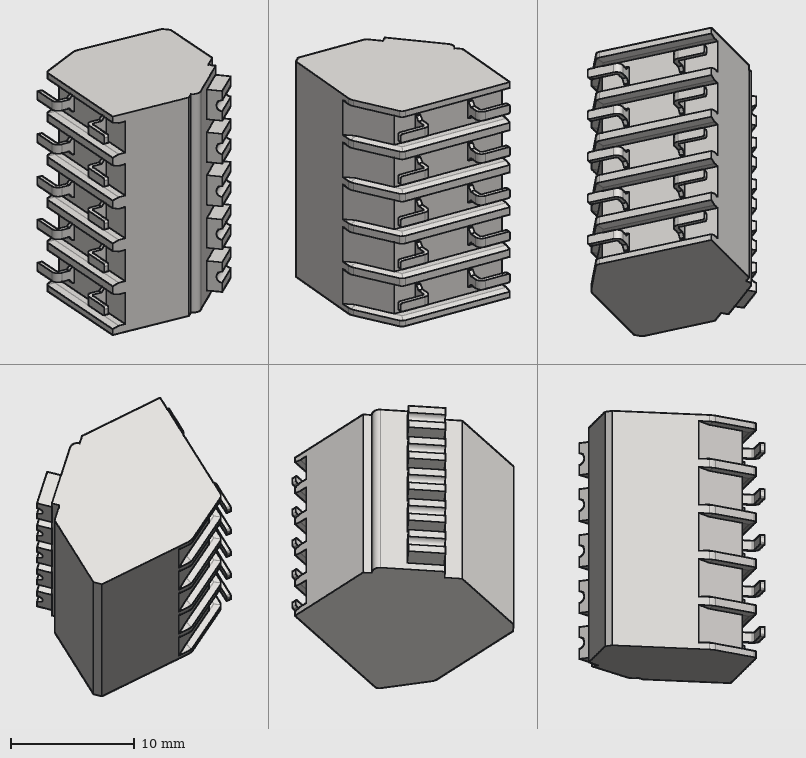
import cadquery as cq
import math

width = 12.7
height = 19.44
back = 12.95
back_chamfer = 0.5

slant_angle = math.radians(60)
slant_foot = 2.4
slant_top = slant_foot * math.tan(slant_angle)
foot_radius = 0.5
shoulder_radius = 1.0

diagonal_right = 7.25
diagonal_sum = width + diagonal_right
land_start = 8.0
land_length = 5.93
land_step = 0.65

pole_count = 5
pole_pitch = 3.81
first_pole = (height - (pole_count - 1) * pole_pitch) / 2

recess_height = 2.78
recess_depth = 1.19
recess_slant_top = 5.3
recess_slant_foot = (recess_slant_top - recess_depth) / math.tan(slant_angle)
bevel_depth = 0.58
bevel_height = 0.17

button_offset = 0.08
button_length = 3.01
button_rise = 1.28
button_height = 2.65
groove_radius = 0.49

pin_thickness = 0.39
pin_height = 0.8
pin_root_height = 1.52
pin_bend_radius = 0.58
pin_tip_radius = 0.17
flare_start = 1.03
flare_end = 0.72
pin_embed = 0.39
left_bend_x = 4.2
left_tip_x = 1.89
right_bend_x = 9.97
right_tip_x = 12.35


def on_diagonal(along, rise):
    """Point a distance along the diagonal from the land start, and above it."""
    x = land_start + (along + rise) * math.sqrt(0.5)
    y = diagonal_sum - land_start + (rise - along) * math.sqrt(0.5)
    return x, y


def make_housing():
    """Full outline extruded over the whole height, with the land on the diagonal."""
    land_round_mid = land_step * math.sqrt(0.5)
    outline = (
        cq.Workplane("XY")
        .moveTo(slant_foot, 0)
        .lineTo(width, 0)
        .lineTo(width, diagonal_right)
        .lineTo(*on_diagonal(land_length, 0))
        .threePointArc(
            on_diagonal(land_length - land_step + land_round_mid, land_round_mid),
            on_diagonal(land_length - land_step, land_step),
        )
        .lineTo(*on_diagonal(0, land_step))
        .lineTo(*on_diagonal(0, 0))
        .lineTo(diagonal_sum - back, back)
        .lineTo(back_chamfer, back)
        .lineTo(0, back - back_chamfer)
        .lineTo(0, slant_top)
        .close()
    )
    prism = outline.extrude(height)
    foot_edge = cq.selectors.NearestToPointSelector((slant_foot, 0, height / 2))
    shoulder_edge = cq.selectors.NearestToPointSelector((0, slant_top, height / 2))
    return prism.edges(foot_edge).fillet(foot_radius).edges(shoulder_edge).fillet(shoulder_radius)


def make_core(housing):
    """Housing with its front and slanted faces set back over the whole height."""
    front_layer = (
        cq.Workplane("XY")
        .polyline([
            (0, 0),
            (width, 0),
            (width, recess_depth),
            (recess_slant_foot, recess_depth),
            (0, recess_slant_top),
        ])
        .close()
        .extrude(height)
    )
    return housing.cut(front_layer)


def make_rib(z):
    """Plate with bevelled rims; it runs past the right and back sides and is trimmed by the housing."""
    right = width + bevel_depth
    rear = back + bevel_depth
    root_height = pole_pitch - recess_height
    rim_height = root_height - 2 * bevel_height
    bevel_angle = math.degrees(math.atan2(bevel_depth, bevel_height))
    rim = (
        cq.Workplane("XY")
        .polyline([(slant_foot, 0), (right, 0), (right, rear), (0, rear), (0, slant_top)])
        .close()
        .extrude(rim_height / 2)
    )
    upper_half = rim.faces(">Z").wires().toPending().extrude(bevel_height, taper=bevel_angle)
    return upper_half.union(upper_half.mirror("XY")).translate((0, 0, z))


def make_button(z):
    """Block standing on the land, with a round groove along its top face."""
    start = button_offset
    end = button_offset + button_length
    top = land_step + button_rise
    block = (
        cq.Workplane("XY", origin=(0, 0, z - button_height / 2))
        .polyline([on_diagonal(start, 0), on_diagonal(end, 0), on_diagonal(end, top), on_diagonal(start, top)])
        .close()
        .extrude(button_height)
    )
    groove_x, groove_y = on_diagonal(start, top)
    along = cq.Plane(origin=(groove_x, groove_y, z), xDir=(0, 0, 1), normal=(1, -1, 0))
    return block.cut(cq.Workplane(along).circle(groove_radius).extrude(button_length))


def make_pin(z, bend_x, tip_x):
    """Bent strip: flared root leaving the housing, quarter bend, straight foot with a rounded tip."""
    side = math.copysign(1, tip_x - bend_x)
    inner_radius = pin_bend_radius - pin_thickness
    root_outer_x = bend_x - side * pin_bend_radius
    root_inner_x = bend_x - side * inner_radius
    root_y = recess_depth + pin_embed
    mid = math.sqrt(0.5)
    strip = (
        cq.Workplane("XY")
        .moveTo(root_outer_x, root_y)
        .lineTo(root_outer_x, 0)
        .threePointArc(
            (bend_x - side * pin_bend_radius * mid, -pin_bend_radius * mid),
            (bend_x, -pin_bend_radius),
        )
        .lineTo(tip_x, -pin_bend_radius)
        .lineTo(tip_x, -inner_radius)
        .lineTo(bend_x, -inner_radius)
        .threePointArc(
            (bend_x - side * inner_radius * mid, -inner_radius * mid),
            (root_inner_x, 0),
        )
        .lineTo(root_inner_x, root_y)
        .close()
        .extrude(pin_height / 2, both=True)
    )
    tip_face = ">X" if side > 0 else "<X"
    strip = strip.faces(tip_face).edges("|Y").fillet(pin_tip_radius)
    flare = (
        cq.Workplane("YZ", origin=(min(root_outer_x, root_inner_x), 0, 0))
        .polyline([
            (root_y, -pin_root_height / 2),
            (flare_start, -pin_root_height / 2),
            (flare_end, -pin_height / 2),
            (flare_end, pin_height / 2),
            (flare_start, pin_root_height / 2),
            (root_y, pin_root_height / 2),
        ])
        .close()
        .extrude(pin_thickness)
    )
    return strip.union(flare).translate((0, 0, z))


housing = make_housing()

ribs = cq.Workplane("XY")
for i in range(pole_count + 1):
    ribs = ribs.union(make_rib(first_pole + (i - 0.5) * pole_pitch))

result = make_core(housing).union(ribs.intersect(housing))
for i in range(pole_count):
    pole_z = first_pole + i * pole_pitch
    result = result.union(make_button(pole_z))
    result = result.union(make_pin(pole_z, left_bend_x, left_tip_x))
    result = result.union(make_pin(pole_z, right_bend_x, right_tip_x))